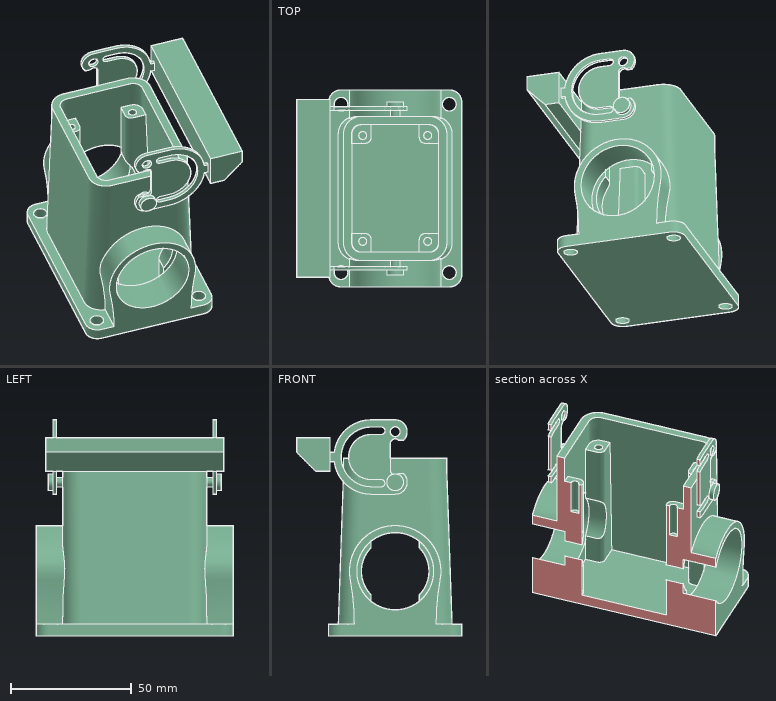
import cadquery as cq
import math

overall_x = 68.75

flange_x = 55.5
flange_y = 82.0
flange_thick = 5.0
flange_corner_r = 5.25
mount_hole_d = 5.6
mount_pitch_x = 45.0
mount_pitch_y = 70.0

shell_y = 60.0
shell_foot_x = 47.4
shell_top_x = 43.0
shell_corner_r = 7.5
shell_top_z = 74.0
rim_height = 5.3
rim_z = shell_top_z - rim_height
wall = 3.5
cavity_y = shell_y - 2 * wall

post_face_x = 10.0
post_face_y = 18.75
post_corner_r = 2.5
post_top_z = 62.0
post_hole_pitch_x = 27.0
post_hole_pitch_y = 44.0
post_hole_d = 3.3
post_hole_depth = 15.0

entry_z = 27.0
entry_r = 19.0
entry_bore_r = 16.0
post_bore_r = 14.0
entry_foot_half = 17.0

pin_z = 64.0
pin_d = 4.0
pin_head_d = 7.0
pin_head_thick = 2.0

plate_thick = 1.5
plate_inner_y = 32.5
plate_outer_y = plate_inner_y + plate_thick
hook_pitch = 21.0
lever_z = pin_z + hook_pitch / 2
hook_r = 5.0
ring_r = hook_pitch / 2 + hook_r
ring_x = -10.0
slot_outer_r = 12.4
slot_inner_r = 9.4
slot_end_x = -5.75
plate_edge_x = -2.0
notch_r = -plate_edge_x
notch_z = hook_pitch / 2 - hook_r
neck_width = 4.0
handle_size = 14.0
handle_chamfer = 8.0
handle_length = 74.0
handle_outer_x = flange_x / 2 - overall_x
handle_inner_x = handle_outer_x + handle_size
handle_z = 68.5


def tapered_block(inset):
    """Shell volume moved inwards by inset, tapered up to the rim and straight above it."""
    foot_half = shell_foot_x / 2 - inset
    top_half = shell_top_x / 2 - inset
    length = shell_y - 2 * inset
    return (
        cq.Workplane("XZ", origin=(0, length / 2, 0))
        .moveTo(-foot_half, flange_thick)
        .lineTo(foot_half, flange_thick)
        .lineTo(top_half, rim_z)
        .lineTo(top_half, shell_top_z)
        .lineTo(-top_half, shell_top_z)
        .lineTo(-top_half, rim_z)
        .close()
        .extrude(length)
        .edges("not |Y")
        .edges("not |X")
        .fillet(shell_corner_r - inset)
    )


def cylinder_y(radius, z, start_y, end_y):
    """Cylinder along Y, centred on X = 0."""
    return cq.Workplane("XZ", origin=(0, start_y, z)).circle(radius).extrude(start_y - end_y)


def make_entries():
    """Round-topped cable entries; concave flanks, tangent to the round, run down to the flange."""
    drop = entry_z - flange_thick
    flank_r = (drop**2 + entry_foot_half**2 - entry_r**2) / (2 * (entry_r - entry_foot_half))
    angle = math.asin(drop / (entry_r + flank_r))
    flank_x = entry_foot_half + flank_r
    join = (entry_r * math.cos(angle), entry_z - entry_r * math.sin(angle))
    mid = (flank_x - flank_r * math.cos(angle / 2), flange_thick + flank_r * math.sin(angle / 2))
    return (
        cq.Workplane("XZ", origin=(0, flange_y / 2, 0))
        .moveTo(-entry_foot_half, 0)
        .lineTo(entry_foot_half, 0)
        .lineTo(entry_foot_half, flange_thick)
        .threePointArc(mid, join)
        .threePointArc((0, entry_z + entry_r), (-join[0], join[1]))
        .threePointArc((-mid[0], mid[1]), (-entry_foot_half, flange_thick))
        .close()
        .extrude(flange_y)
    )


def make_posts(cavity):
    """Four posts filling the cavity corners, each with a blind screw hole."""
    height = post_top_z - flange_thick
    size_x = shell_foot_x / 2 - post_face_x
    size_y = shell_y / 2 - post_face_y
    posts = cq.Workplane("XY")
    for side_x in (-1, 1):
        for side_y in (-1, 1):
            post = (
                cq.Workplane("XY")
                .box(size_x, size_y, height, centered=(True, True, False))
                .edges("|Z")
                .edges("<X" if side_x > 0 else ">X")
                .edges("<Y" if side_y > 0 else ">Y")
                .fillet(post_corner_r)
                .translate(
                    (
                        side_x * (post_face_x + size_x / 2),
                        side_y * (post_face_y + size_y / 2),
                        flange_thick,
                    )
                )
            )
            posts = posts.add(post)
    holes = (
        cq.Workplane("XY")
        .workplane(offset=post_top_z - post_hole_depth)
        .rect(post_hole_pitch_x, post_hole_pitch_y, forConstruction=True)
        .vertices()
        .circle(post_hole_d / 2)
        .extrude(post_hole_depth)
    )
    return posts.combine().intersect(cavity).cut(holes)


def make_housing():
    flange = (
        cq.Workplane("XY")
        .rect(flange_x, flange_y)
        .extrude(flange_thick)
        .edges("|Z")
        .fillet(flange_corner_r)
        .faces(">Z")
        .workplane()
        .rect(mount_pitch_x, mount_pitch_y, forConstruction=True)
        .vertices()
        .hole(mount_hole_d)
    )
    cavity = tapered_block(wall)
    posts = make_posts(cavity).cut(
        cylinder_y(post_bore_r, entry_z, -cavity_y / 2, cavity_y / 2)
    )
    body = flange.union(make_entries()).union(tapered_block(0)).cut(cavity)
    for side in (-1, 1):
        body = body.cut(cylinder_y(entry_bore_r, entry_z, side * cavity_y / 2, side * flange_y / 2))
    body = body.union(posts)
    for side in (-1, 1):
        head_y = side * plate_outer_y
        shank = cylinder_y(pin_d / 2, pin_z, side * (shell_y - wall) / 2, head_y)
        head = cylinder_y(pin_head_d / 2, pin_z, head_y, head_y + side * pin_head_thick)
        body = body.union(shank.union(head))
    return body


def make_lever_plate(outer_y):
    """Side plate, drawn about the lever's mid height and extruded towards -Y."""
    hook_z = hook_pitch / 2
    tip_x = notch_r * math.sqrt(0.5)
    tip_z = notch_z + tip_x
    tip_end_x = math.sqrt(hook_r**2 - (hook_z - tip_z) ** 2)
    notch_top = notch_z + notch_r
    plane = cq.Workplane("XZ", origin=(0, outer_y, lever_z))
    outline = (
        plane.moveTo(0, ring_r)
        .threePointArc((hook_r, hook_z), (tip_end_x, tip_z))
        .lineTo(tip_x, tip_z)
        .threePointArc((0, notch_top), (plate_edge_x, notch_z))
        .lineTo(plate_edge_x, -notch_z)
        .threePointArc((0, -notch_top), (tip_x, -tip_z))
        .lineTo(tip_end_x, -tip_z)
        .threePointArc((hook_r, -hook_z), (0, -ring_r))
        .lineTo(ring_x, -ring_r)
        .threePointArc((ring_x - ring_r, 0), (ring_x, ring_r))
        .close()
        .extrude(plate_thick)
    )
    slot_mid_r = (slot_outer_r + slot_inner_r) / 2
    slot_tip_x = slot_end_x + (slot_outer_r - slot_inner_r) / 2
    slot = (
        plane.moveTo(ring_x, slot_outer_r)
        .lineTo(slot_end_x, slot_outer_r)
        .threePointArc((slot_tip_x, slot_mid_r), (slot_end_x, slot_inner_r))
        .lineTo(ring_x, slot_inner_r)
        .threePointArc((ring_x - slot_inner_r, 0), (ring_x, -slot_inner_r))
        .lineTo(slot_end_x, -slot_inner_r)
        .threePointArc((slot_tip_x, -slot_mid_r), (slot_end_x, -slot_outer_r))
        .lineTo(ring_x, -slot_outer_r)
        .threePointArc((ring_x - slot_outer_r, 0), (ring_x, slot_outer_r))
        .close()
        .extrude(plate_thick)
    )
    pin_holes = plane.pushPoints([(0, hook_z), (0, -hook_z)]).circle(pin_d / 2).extrude(plate_thick)
    neck_end_x = ring_x - (ring_r + slot_outer_r) / 2
    neck = (
        plane.center((handle_inner_x + neck_end_x) / 2, 0)
        .rect(neck_end_x - handle_inner_x, neck_width)
        .extrude(plate_thick)
    )
    return outline.cut(slot).cut(pin_holes).union(neck)


def make_lever():
    """Chamfered handle bar carrying the two side plates."""
    lever = (
        cq.Workplane("XY")
        .box(handle_size, handle_length, handle_size, centered=(False, True, False))
        .translate((handle_outer_x, 0, handle_z))
        .edges("|Y")
        .edges("<X")
        .edges("<Z")
        .chamfer(handle_chamfer)
    )
    for outer_y in (plate_outer_y, -plate_inner_y):
        lever = lever.union(make_lever_plate(outer_y))
    return lever


housing = make_housing()
lever = make_lever()
result = cq.Compound.makeCompound([housing.val(), lever.val()])